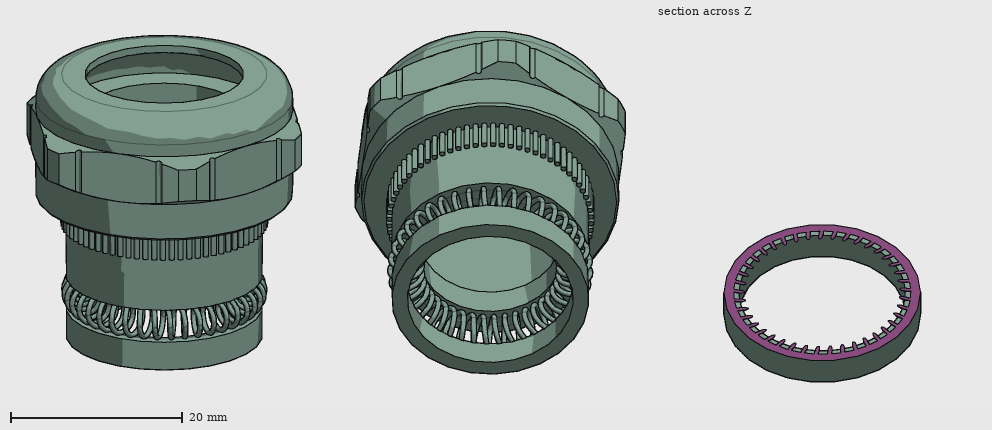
import cadquery as cq
import math

TOTAL_HEIGHT = 32.55
RING_TOP = 3.5
SLEEVE_BOTTOM = 7.47
SLEEVE_STEP = 10.92
KNURL_BOTTOM = 13.97
NUT_BOTTOM = 17.52
HEX_BOTTOM = 22.08
HEX_TOP = 28.07

ACROSS_FLATS = 30.0
NUT_RADIUS = ACROSS_FLATS / 2
CORNER_RADIUS = 16.75
HEX_CROWN = 1.05
CAP_ROUND = 3.0
NUT_CHAMFER = 0.27

FLAT_COUNT = 6
GROOVE_OFFSET = 5.02
GROOVE_RADIUS = 0.4
GROOVE_DEPTH = 0.27

MOUTH_RADIUS = 9.28
LIP_THICKNESS = 0.9
SEAT_RADIUS = 12.33
SEAT_DEPTH = 4.62
BORE_RADIUS = 9.0
LOWER_BORE_RADIUS = 8.25
RING_BORE_RADIUS = 9.68

SLEEVE_RADIUS = 11.5
KNURL_RADIUS = 12.1
RIB_RADIUS = 0.318
RIB_COUNT = 72

SPRING_OUTER = 12.0
SPRING_INNER = 7.67
WIRE_RADIUS = 0.3
COIL_COUNT = 41
SEAT_OVERLAP = 0.085
SPRING_RADIUS = (SPRING_OUTER + SPRING_INNER) / 2
SPRING_TUBE = (SPRING_OUTER - SPRING_INNER) / 2
COIL_RADIUS = SPRING_TUBE - WIRE_RADIUS
SPRING_HEIGHT = (RING_TOP + SLEEVE_BOTTOM) / 2


def cylinder(radius, bottom, top):
    return cq.Workplane("XY").workplane(offset=bottom).circle(radius).extrude(top - bottom)


def make_cap():
    """Round nut body with a rounded top edge and a chamfered bottom edge."""
    body = cylinder(NUT_RADIUS, NUT_BOTTOM, TOTAL_HEIGHT)
    return body.faces(">Z").edges().fillet(CAP_ROUND).faces("<Z").edges().chamfer(NUT_CHAMFER)


def make_hexagon():
    """Hexagon with turned, chamfered corners and two round grooves in every flat."""
    across_corners = ACROSS_FLATS / math.cos(math.pi / FLAT_COUNT)
    height = HEX_TOP - HEX_BOTTOM
    base = cq.Workplane("XY").workplane(offset=HEX_BOTTOM)
    hexagon = base.polygon(FLAT_COUNT, across_corners).extrude(height)
    turned = (
        cq.Workplane("XZ")
        .moveTo(0, HEX_BOTTOM)
        .lineTo(NUT_RADIUS, HEX_BOTTOM)
        .lineTo(CORNER_RADIUS, HEX_BOTTOM + HEX_CROWN)
        .lineTo(CORNER_RADIUS, HEX_TOP - HEX_CROWN)
        .lineTo(NUT_RADIUS, HEX_TOP)
        .lineTo(0, HEX_TOP)
        .close()
        .revolve()
    )
    hexagon = hexagon.intersect(turned)
    groove_y = NUT_RADIUS - GROOVE_DEPTH + GROOVE_RADIUS
    grooves = (
        base.pushPoints([(-GROOVE_OFFSET, groove_y), (GROOVE_OFFSET, groove_y)])
        .circle(GROOVE_RADIUS)
        .extrude(height)
    )
    for flat in range(FLAT_COUNT):
        turn = 360 * flat / FLAT_COUNT
        hexagon = hexagon.cut(grooves.rotate((0, 0, 0), (0, 0, 1), turn))
    return hexagon


def make_knurl():
    """Upright round ribs around the sleeve, directly under the nut."""
    return (
        cq.Workplane("XY")
        .workplane(offset=KNURL_BOTTOM)
        .polarArray(KNURL_RADIUS - RIB_RADIUS, 0, 360, RIB_COUNT)
        .circle(RIB_RADIUS)
        .extrude(NUT_BOTTOM - KNURL_BOTTOM)
    )


def make_bore():
    """Stepped passage through the part, with a domed cavity under the cap lip."""
    seat = TOTAL_HEIGHT - SEAT_DEPTH
    lip = TOTAL_HEIGHT - LIP_THICKNESS
    inset = SEAT_RADIUS - MOUTH_RADIUS
    rise = lip - seat
    wall_round = (inset ** 2 + rise ** 2) / (2 * inset)
    return (
        cq.Workplane("XZ")
        .lineTo(RING_BORE_RADIUS, 0)
        .lineTo(RING_BORE_RADIUS, RING_TOP)
        .lineTo(LOWER_BORE_RADIUS, RING_TOP)
        .lineTo(LOWER_BORE_RADIUS, SLEEVE_STEP)
        .lineTo(BORE_RADIUS, SLEEVE_STEP)
        .lineTo(BORE_RADIUS, seat)
        .lineTo(SEAT_RADIUS, seat)
        .radiusArc((MOUTH_RADIUS, lip), -wall_round)
        .lineTo(MOUTH_RADIUS, TOTAL_HEIGHT)
        .lineTo(0, TOTAL_HEIGHT)
        .close()
        .revolve()
    )


def make_spring_seat():
    """Ring that cuts a shallow hollow for the spring into both facing ends."""
    return cq.Workplane(cq.Solid.makeTorus(
        SPRING_RADIUS, SPRING_TUBE - SEAT_OVERLAP, cq.Vector(0, 0, SPRING_HEIGHT)
    ))


def spring_point(radius, half_pitches):
    """Point at mid-height of the spring, a number of half coil pitches around its axis."""
    angle = half_pitches * math.pi / COIL_COUNT
    return cq.Vector(radius * math.cos(angle), radius * math.sin(angle), SPRING_HEIGHT)


def half_coil(start, end):
    """Wire bent in a half circle that rises from start and comes down at end."""
    span = end - start
    middle = span.Length / 2
    section = cq.Plane(origin=start, xDir=span, normal=(0, 0, 1))
    return cq.Workplane(section).circle(WIRE_RADIUS).revolve(180, (middle, 0), (middle, 1))


def around_spring(half):
    """Copies of a half coil, one for every coil of the spring."""
    turns = [360 * i / COIL_COUNT for i in range(COIL_COUNT)]
    return [half.rotate((0, 0, 0), (0, 0, 1), turn).val() for turn in turns]


def make_half_coils():
    """Upper and lower halves of all coils; they meet end to end at mid-height."""
    outer = SPRING_RADIUS + COIL_RADIUS
    inner = SPRING_RADIUS - COIL_RADIUS
    upper = half_coil(spring_point(outer, 1), spring_point(inner, 0))
    lower = half_coil(spring_point(inner, 0), spring_point(outer, -1))
    lower = lower.mirror("XY", (0, 0, SPRING_HEIGHT))
    return around_spring(upper), around_spring(lower)


ring = cylinder(SLEEVE_RADIUS, 0, RING_TOP)
sleeve = cylinder(SLEEVE_RADIUS, SLEEVE_BOTTOM, NUT_BOTTOM)
sleeve = sleeve.union(make_knurl())
body = make_cap().union(make_hexagon()).union(sleeve).union(ring)
body = body.cut(make_bore()).cut(make_spring_seat())

upper_halves, lower_halves = make_half_coils()
result = cq.Workplane(body.val().fuse(*lower_halves).fuse(*upper_halves))